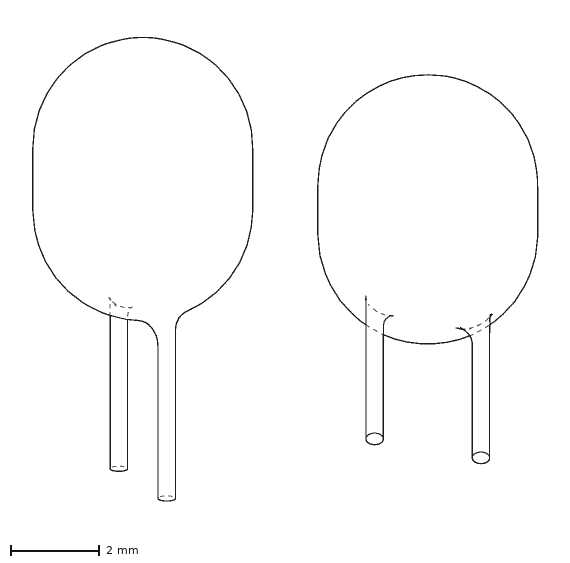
import cadquery as cq

total_height = 10.5
body_diameter = 5.0
band_height = 1.5
lead_diameter = 0.4
lead_pitch = 2.5
fillet_radius = 0.6

body_radius = body_diameter / 2
body_top = band_height + body_radius
body_bottom = -body_radius
lead_bottom = body_top - total_height
lead_length = -lead_bottom


def make_body():
    """Capsule: a cylindrical band closed by a hemisphere at each end."""
    profile = (
        cq.Workplane("YZ")
        .moveTo(0, body_bottom)
        .radiusArc((body_radius, 0), -body_radius)
        .lineTo(body_radius, band_height)
        .radiusArc((0, body_top), -body_radius)
        .close()
    )
    return profile.revolve(360, (0, 0, 0), (0, 1, 0))


def make_lead(x):
    """Straight round wire running from its free end up into the body."""
    return (
        cq.Workplane("XY", origin=(x, 0, lead_bottom))
        .circle(lead_diameter / 2)
        .extrude(lead_length)
    )


def fillet_lead_joints(part):
    """Round the two edges where the leads meet the lower dome."""
    zone_top = body_bottom / 2
    joint_zone = cq.selectors.BoxSelector(
        (-body_radius, -body_radius, body_bottom),
        (body_radius, body_radius, zone_top),
        boundingbox=True,
    )
    return part.edges(joint_zone).fillet(fillet_radius)


body_with_leads = make_body()
for side in (-1, 1):
    body_with_leads = body_with_leads.union(make_lead(side * lead_pitch / 2))

result = fillet_lead_joints(body_with_leads)